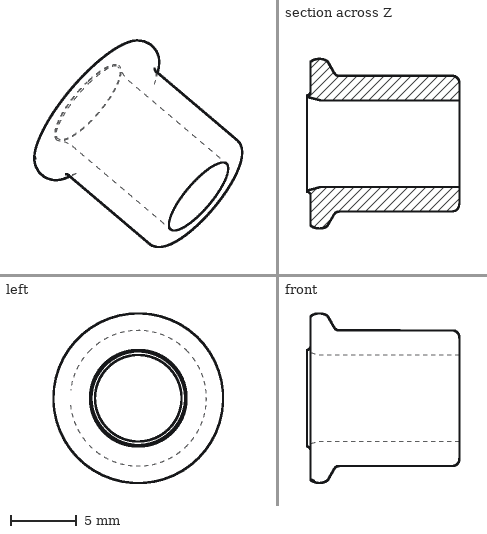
import cadquery as cq
import math

length = 11.56
collar_face_x = 0.26
collar_crown_x = 0.94
collar_back_x = 1.56
bore_taper_depth = 1.03

collar_radius = 6.45
collar_front_radius = 6.21
collar_back_radius = 6.25
body_radius = 5.15
lip_radius = 3.67
mouth_radius = 3.55
bore_radius = 3.27

collar_front_fillet = 0.1
collar_back_fillet = 0.2
neck_fillet = 0.4
end_fillet = 0.55

cone_angle = math.radians(60)
cone_end_x = collar_back_x + (collar_back_radius - body_radius) / math.tan(cone_angle)

lip_flare = collar_face_x
lip_flare_middle_x = lip_flare * math.sin(math.radians(45))
lip_flare_middle_radius = lip_radius + lip_flare * (1 - math.cos(math.radians(45)))


def revolved_body():
    """Bushing without its edge blends, revolved from a half section (X axial, Y radial)."""
    section = (
        cq.Workplane("XY")
        .moveTo(0, mouth_radius)
        .lineTo(0, lip_radius)
        .threePointArc(
            (lip_flare_middle_x, lip_flare_middle_radius),
            (collar_face_x, lip_radius + lip_flare),
        )
        .lineTo(collar_face_x, collar_front_radius)
        .threePointArc((collar_crown_x, collar_radius), (collar_back_x, collar_back_radius))
        .lineTo(cone_end_x, body_radius)
        .lineTo(length, body_radius)
        .lineTo(length, bore_radius)
        .lineTo(bore_taper_depth, bore_radius)
        .close()
    )
    return section.revolve(360, (0, 0, 0), (1, 0, 0))


def round_edge(solid, x, radius, fillet):
    """Fillet the circular edge found at the given axial position and radius."""
    tolerance = 0.001
    edges = [
        edge
        for edge in solid.edges("%CIRCLE").vals()
        if abs(edge.Center().x - x) < tolerance and abs(edge.radius() - radius) < tolerance
    ]
    return solid.newObject(edges).fillet(fillet)


bushing = revolved_body()
bushing = round_edge(bushing, collar_face_x, collar_front_radius, collar_front_fillet)
bushing = round_edge(bushing, collar_back_x, collar_back_radius, collar_back_fillet)
bushing = round_edge(bushing, cone_end_x, body_radius, neck_fillet)
bushing = round_edge(bushing, length, body_radius, end_fillet)

result = bushing